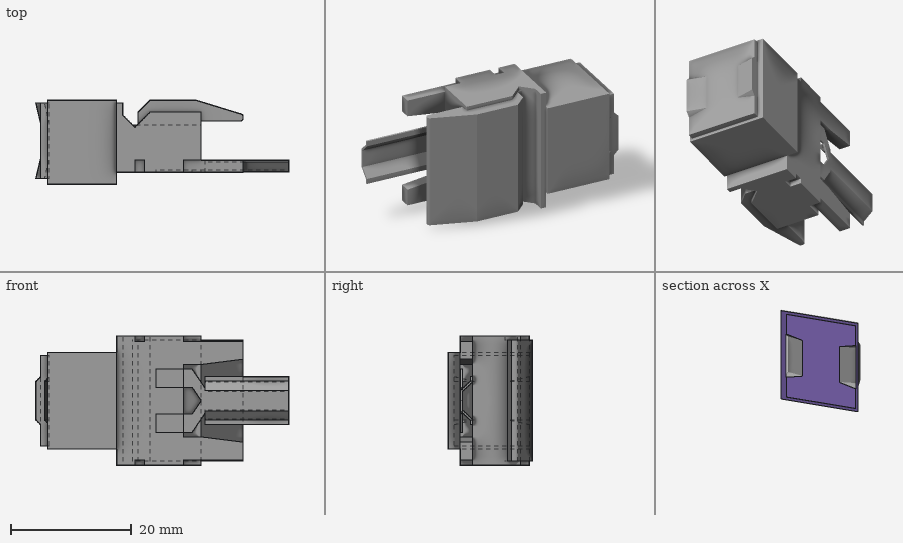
import cadquery as cq


length = 42.0
tab_height = 0.8
block_start = 1.95
housing_start = 13.45
housing_end = 27.45
arm_end = 34.45

block_depth = 14.0
block_half = 8.02
plate_thickness = 1.43
plate_front_y = -6.05
plate_back_y = 6.5
plate_half = 7.5
tab_reach = 3.4
tab_half = 3.2

housing_half = 10.75
housing_front_y = -5.0
housing_back_y = 6.5
rear_wall = 1.0
vee_x = 16.45
vee_y = 2.48
lip_y = 5.0
side_step = 0.92
front_layer = 2.0
notch_start = 16.45
notch_width = 1.6
window_start = 24.5
window_half = 6.0
arm_tip_half = 6.9

latch_half = 10.05
latch_start = 16.95
latch_floor_y = 2.85
latch_underside_y = 3.5
latch_top_end = 26.55
latch_nose_y = 4.58
latch_nose_radius = 0.5

sheet = 0.35
strap_front_y = -4.9
leg_start = 19.95
leg_bend = 25.95
leg_outer_half = 5.25
leg_inner_half = 2.23
channel_start = 28.1
channel_flat_half = 1.72
channel_side_half = 3.25
channel_half = 4.0

plate_face = tab_height
plate_back = plate_face + plate_thickness
front_layer_y = housing_front_y + front_layer
latch_back_y = block_depth / 2
rear_wall_end = housing_start + rear_wall
shoulder_y = vee_y + (vee_x - rear_wall_end)


def box_between(x0, x1, y0, y1, z0, z1):
    return cq.Workplane("XY").box(x1 - x0, y1 - y0, z1 - z0, centered=False).translate((x0, y0, z0))


def slab_xy(points, z0, z1):
    """Extrude an XY outline from z0 to z1."""
    return cq.Workplane("XY").workplane(offset=z0).polyline(points).close().extrude(z1 - z0)


def slab_xz(points, y0, y1):
    """Extrude an XZ outline from y0 to y1."""
    return cq.Workplane("XZ").workplane(offset=-y0).polyline(points).close().extrude(y0 - y1)


def mirrored(points):
    """Complete an outline with its mirror image below the plane Z = 0; Z comes second."""
    return points + [(along, -z) for along, z in reversed(points)]


def tab(edge_y, inward, base_x):
    """Ramp rising towards -X at a plate edge, with triangular sides that flare at its base."""
    tip_x = base_x - tab_height
    base_half = tab_half + tab_height
    inner_y = edge_y + inward * tab_reach
    base_top = (base_x, edge_y, base_half)
    base_bottom = (base_x, edge_y, -base_half)
    tip_top = (tip_x, edge_y, tab_half)
    tip_bottom = (tip_x, edge_y, -tab_half)
    inner_top = (base_x, inner_y, tab_half)
    inner_bottom = (base_x, inner_y, -tab_half)
    outlines = [
        (base_top, base_bottom, tip_bottom, tip_top),
        (base_top, base_bottom, inner_bottom, inner_top),
        (tip_top, tip_bottom, inner_bottom, inner_top),
        (base_top, tip_top, inner_top),
        (base_bottom, tip_bottom, inner_bottom),
    ]
    faces = []
    for outline in outlines:
        wire = cq.Wire.makePolygon([cq.Vector(*p) for p in outline], close=True)
        faces.append(cq.Face.makeFromWires(wire))
    return cq.Workplane(obj=cq.Solid.makeSolid(cq.Shell.makeShell(faces)).fix())


def make_plate():
    """Cover plate with two pressed-out tabs, each leaving a matching dent in the back."""
    plate = box_between(plate_face, plate_back, plate_front_y, plate_back_y, -plate_half, plate_half)
    for edge_y, inward in ((plate_front_y, 1), (plate_back_y, -1)):
        plate = plate.union(tab(edge_y, inward, plate_face))
        plate = plate.cut(tab(edge_y, inward, plate_back))
    return plate


def make_block():
    """Front block with a shallow seat for the cover plate."""
    block = box_between(
        block_start, housing_start, -block_depth / 2, block_depth / 2, -block_half, block_half
    )
    seat = box_between(block_start, plate_back, plate_front_y, plate_back_y, -plate_half, plate_half)
    return block.cut(seat)


def housing_outline(groove):
    """Housing outline in XY; groove lists the points between the rear wall and the +X end."""
    return [
        (housing_start, housing_front_y),
        (housing_start, housing_back_y),
        (rear_wall_end, housing_back_y),
        (rear_wall_end, shoulder_y),
        *groove,
        (housing_end, housing_front_y),
    ]


def make_housing():
    floor_start = vee_x - (latch_floor_y - vee_y)
    core_outline = housing_outline([(floor_start, latch_floor_y), (housing_end, latch_floor_y)])
    housing = slab_xy(core_outline, -latch_half, latch_half)
    cheek_outline = housing_outline(
        [(vee_x, vee_y), (vee_x + (lip_y - vee_y), lip_y), (housing_end, lip_y)]
    )
    for z0, z1 in ((-housing_half, -latch_half), (latch_half, housing_half)):
        housing = housing.union(slab_xy(cheek_outline, z0, z1))

    side_inner = housing_half - side_step
    for x0, x1 in ((notch_start, notch_start + notch_width), (window_start, housing_end)):
        for z0, z1 in ((-housing_half, -side_inner), (side_inner, housing_half)):
            housing = housing.cut(box_between(x0, x1, housing_front_y, front_layer_y, z0, z1))

    housing = housing.cut(
        box_between(window_start, housing_end, housing_front_y, front_layer_y, -window_half, window_half)
    )

    for side in (1, -1):
        arm = [
            (window_start, side * window_half),
            (housing_end, side * window_half),
            (arm_end, side * arm_tip_half),
            (arm_end, side * side_inner),
            (window_start, side * side_inner),
        ]
        housing = housing.union(slab_xz(arm, housing_front_y, front_layer_y))

    for z0, z1 in ((-leg_outer_half, -leg_inner_half), (leg_inner_half, leg_outer_half)):
        slot = box_between(leg_start, window_start, strap_front_y, strap_front_y + sheet, z0, z1)
        housing = housing.cut(slot)
    return housing


def make_latch():
    """Latch seated between the housing cheeks, with a tapered finger and a rounded nose."""
    chamfer = latch_back_y - lip_y
    outline = [
        (latch_start, latch_floor_y),
        (latch_start, lip_y),
        (latch_start + chamfer, latch_back_y),
        (latch_top_end, latch_back_y),
        (arm_end, latch_nose_y),
        (arm_end, latch_underside_y),
        (housing_end, latch_underside_y),
        (housing_end, latch_floor_y),
    ]
    latch = slab_xy(outline, -latch_half, latch_half)
    return latch.edges("|Z").edges(">X").fillet(latch_nose_radius)


def make_strap():
    """Sheet strap: two legs joined at a neck, then a hat-shaped channel with flanges."""
    apex_x = housing_end
    leg_slope = leg_inner_half / (apex_x - leg_bend)
    neck_half = leg_outer_half - leg_slope * (channel_start - leg_bend)
    outer = mirrored([(leg_start, leg_outer_half), (leg_bend, leg_outer_half), (channel_start, neck_half)])
    inner = [
        (leg_start, leg_inner_half),
        (leg_bend, leg_inner_half),
        (apex_x, 0),
        (leg_bend, -leg_inner_half),
        (leg_start, -leg_inner_half),
    ]
    strap_inner_y = strap_front_y + sheet
    legs = slab_xz(outer, strap_front_y, strap_inner_y).cut(slab_xz(inner, strap_front_y, strap_inner_y))

    flange_front_y = front_layer_y - sheet
    inner_offset = sheet / 2
    half_section = [
        (strap_front_y, channel_flat_half),
        (flange_front_y, channel_side_half),
        (flange_front_y, channel_half),
        (front_layer_y, channel_half),
        (front_layer_y, channel_side_half - inner_offset),
        (strap_inner_y, channel_flat_half - inner_offset),
    ]
    section = cq.Workplane("YZ").workplane(offset=channel_start).polyline(mirrored(half_section)).close()
    channel = section.extrude(length - channel_start)
    return legs.union(channel)


plate = make_plate()
block = make_block()
housing = make_housing()
latch = make_latch()
strap = make_strap()

result = cq.Compound.makeCompound([plate.val(), block.val(), housing.val(), latch.val(), strap.val()])